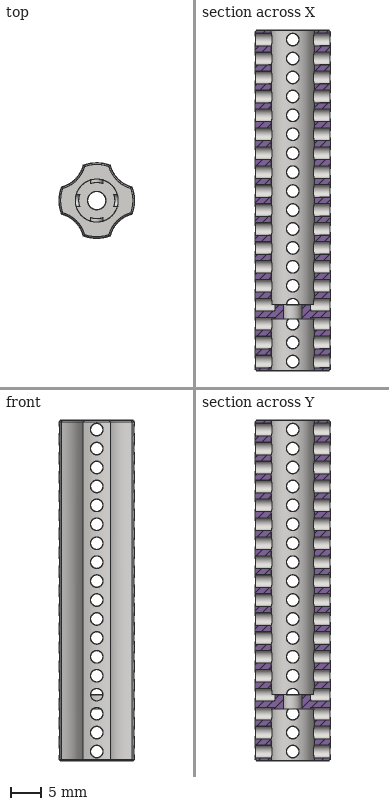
import cadquery as cq

length = 56.25
outer_radius = 6.25
edge_chamfer = 0.3

lobe_count = 4
lobe_step_angle = 360 / lobe_count
flute_radius = 5.0
flute_center_distance = 2 * flute_radius

bore_diameter = 7.1
floor_hole_diameter = 3.0
floor_thickness = 2.35

holes_per_row = 18
cross_hole_diameter = 2.0
cross_hole_end_radius = 3.0
hole_pitch = length / holes_per_row
first_hole_z = hole_pitch / 2

holes_below_floor_top = 3
floor_top_z = first_hole_z + holes_below_floor_top * hole_pitch
floor_bottom_z = floor_top_z - floor_thickness


def lobed_bar():
    """Solid bar with rounded lobes on the X and Y axes and flutes between them."""
    first_flute_angle = lobe_step_angle / 2
    flutes = (
        cq.Workplane("XY")
        .polarArray(flute_center_distance, first_flute_angle, 360, lobe_count)
        .circle(flute_radius)
        .extrude(length)
    )
    bar = cq.Workplane("XY").circle(outer_radius).extrude(length).cut(flutes)
    return bar.faces("<Z or >Z").chamfer(edge_chamfer)


def bore():
    """Round cavities above and below the floor, joined by the floor hole."""
    upper = (
        cq.Workplane("XY", origin=(0, 0, floor_top_z))
        .circle(bore_diameter / 2)
        .extrude(length - floor_top_z)
    )
    lower = cq.Workplane("XY").circle(bore_diameter / 2).extrude(floor_bottom_z)
    center_hole = cq.Workplane("XY").circle(floor_hole_diameter / 2).extrude(length)
    return upper.union(lower).union(center_hole)


def cross_hole_row():
    """Cutters for the holes through the +X lobe, ending on a cylinder just inside the bore wall."""
    centers = [(0, first_hole_z + index * hole_pitch) for index in range(holes_per_row)]
    drills = (
        cq.Workplane("YZ")
        .pushPoints(centers)
        .circle(cross_hole_diameter / 2)
        .extrude(2 * outer_radius)
    )
    core = cq.Workplane("XY").circle(cross_hole_end_radius).extrude(length)
    return drills.cut(core)


result = lobed_bar().cut(bore())
for lobe in range(lobe_count):
    row_angle = lobe * lobe_step_angle
    result = result.cut(cross_hole_row().rotate((0, 0, 0), (0, 0, 1), row_angle))